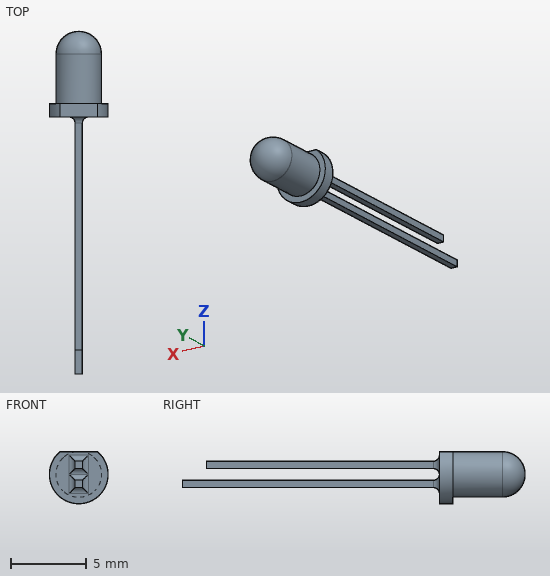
import cadquery as cq
import math

DIAGONAL = math.sqrt(0.5)

total_length = 22.86

lens_radius = 1.525
lens_barrel_length = 3.3
flange_diameter = 3.93
flange_radius = flange_diameter / 2
flange_thickness = 0.9
flat_height = lens_radius
dome_center_y = flange_thickness + lens_barrel_length
body_length = dome_center_y + lens_radius

lead_width = 0.5
lead_pitch = 1.27
long_lead_length = total_length - body_length
lead_length_difference = 1.6
short_lead_length = long_lead_length - lead_length_difference
flare_radius = 0.4
root_depth = flange_thickness / 2


def make_lens():
    """Round barrel with a hemispherical end, as one revolved profile."""
    dome_mid = lens_radius * DIAGONAL
    return (
        cq.Workplane("ZY")
        .lineTo(lens_radius, 0)
        .lineTo(lens_radius, dome_center_y)
        .threePointArc((dome_mid, dome_center_y + dome_mid), (0, body_length))
        .close()
        .revolve(360, (0, 0, 0), (0, 1, 0))
    )


def make_flange():
    """Round flange cut flat along its top."""
    disc = cq.Workplane("XZ").circle(flange_radius).extrude(-flange_thickness)
    keep_height = flange_radius + flat_height
    below_flat = (
        cq.Workplane("XY", origin=(0, 0, -flange_radius))
        .box(flange_diameter, flange_thickness, keep_height, centered=(True, False, False))
    )
    return disc.intersect(below_flat)


def make_flare_profile(plane):
    """Bar, as wide as the flare is at its base, narrowing to the lead through two concave arcs."""
    lead_half = lead_width / 2
    base_half = lead_half + flare_radius
    arc_mid = flare_radius * (1 - DIAGONAL)
    return (
        cq.Workplane(plane)
        .moveTo(-base_half, 0)
        .threePointArc((-lead_half - arc_mid, -arc_mid), (-lead_half, -flare_radius))
        .lineTo(lead_half, -flare_radius)
        .threePointArc((lead_half + arc_mid, -arc_mid), (base_half, 0))
        .lineTo(base_half, root_depth)
        .lineTo(-base_half, root_depth)
        .close()
        .extrude(base_half, both=True)
    )


def make_lead(length, center_z):
    """Square lead with a mitred, four-sided flare at the flange."""
    flare = make_flare_profile("XY").intersect(make_flare_profile("ZY"))
    bar = cq.Workplane("XZ").rect(lead_width, lead_width).extrude(length)
    return bar.union(flare).translate((0, 0, center_z))


result = (
    make_lens()
    .union(make_flange())
    .union(make_lead(short_lead_length, lead_pitch / 2))
    .union(make_lead(long_lead_length, -lead_pitch / 2))
)